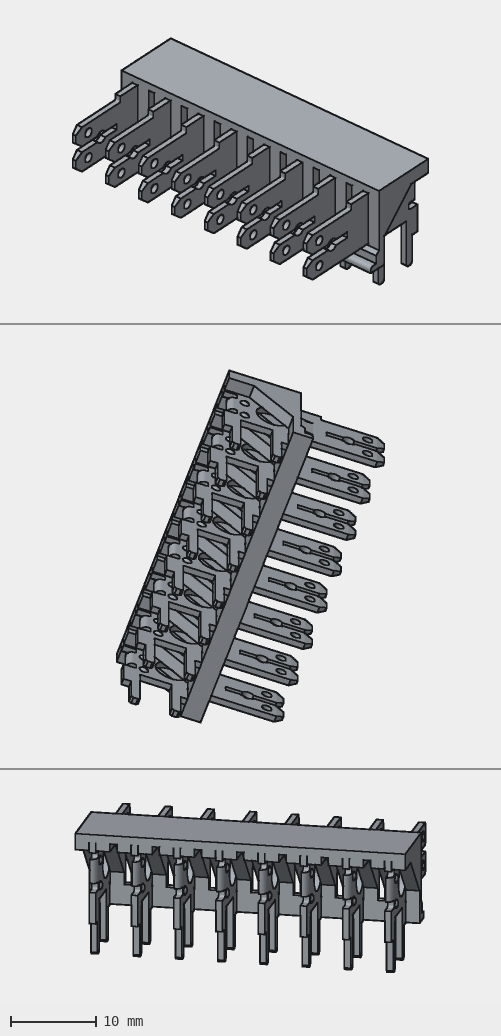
import cadquery as cq


length = 39.68
terminal_count = 8
pitch = 5.08
slot_pitch = pitch / 2
slot_count = 2 * terminal_count - 1
slot_width = 0.87

housing_depth = 8.95
roof_thickness = 2.0
wall_thickness = 1.0
wall_back = housing_depth - wall_thickness
wall_bottom = 10.87
gusset_start = 3.1
gusset_drop = wall_back - gusset_start
slot_top = 1.05
slot_bottom = 8.37
ledge_chamfer = 0.5
lip_top = 10.0
lip_front = 10.48
lip_radius = 0.48

thickness = 0.8
axis_depth = 5.0
shoulder_front = 12.05
shoulder_radius = 0.2
plate_bottom = 10.95
window_diameter = 4.0
window_forward = 6.0

blade_front = 20.0
blade_half_height = 3.15
fork_gap = 0.8
fork_start = 12.75
fork_eye_diameter = 1.6
fork_eye_forward = 15.5
prong_hole_diameter = 1.2
prong_hole_forward = 17.85
prong_offset = (blade_half_height + fork_gap / 2) / 2
tip_length = 0.95
tip_bevel = 0.8
tip_side_bevel = 0.15

leg_bottom = 15.0
leg_width = 1.1
leg_starts = (0.95, 6.05)
leg_chamfer = 0.28
arch_top = 8.5

tab_back = 0.48
tab_top = 3.2
tab_bottom = 6.2
tab_radius = 0.75
notch_front = 1.6
notch_height = 0.95
notch_radius = 0.3

dimple_radius = 0.55
dimple_height = 0.28
dimple_forward = 2.55
dimple_depths = (3.85, 6.95)
barb_height = 0.28
barb_length = 2.05
barb_top = 3.45
barb_bottom = 6.43
barb_taper = 0.15


def side_profile(points, width):
    """Prism of the given (forward, down) outline, centred on X = 0."""
    outline = [(-forward, -down) for forward, down in points]
    return cq.Workplane("YZ").polyline(outline).close().extrude(width / 2, both=True)


def side_block(back, front, top, bottom, width=thickness):
    return side_profile([(back, top), (front, top), (front, bottom), (back, bottom)], width)


def cross_hole(forward, down, diameter):
    return (
        cq.Workplane("YZ").center(-forward, -down).circle(diameter / 2).extrude(thickness, both=True)
    )


def make_housing():
    ledge_front = housing_depth + ledge_chamfer
    profile = [
        (0, 0),
        (housing_depth, 0),
        (housing_depth, slot_bottom),
        (ledge_front, slot_bottom + ledge_chamfer),
        (ledge_front, lip_top),
        (lip_front, lip_top),
        (lip_front, wall_bottom),
        (wall_back, wall_bottom),
        (wall_back, roof_thickness + gusset_drop),
        (gusset_start, roof_thickness),
        (0, roof_thickness),
    ]
    housing = side_profile(profile, length)
    lip_edge = cq.selectors.NearestToPointSelector((0, -lip_front, -lip_top))
    housing = housing.edges(lip_edge).fillet(lip_radius)
    slot = side_block(0, housing_depth, slot_top, slot_bottom, slot_width)
    for index in range(slot_count):
        housing = housing.cut(slot.translate(((index - (slot_count - 1) / 2) * slot_pitch, 0, 0)))
    return housing


def make_plate():
    blade_top = axis_depth - blade_half_height
    blade_bottom = axis_depth + blade_half_height
    outline = [
        (0, slot_top),
        (shoulder_front, slot_top),
        (shoulder_front, blade_top),
        (blade_front, blade_top),
        (blade_front, blade_bottom),
        (wall_back, blade_bottom),
        (wall_back, plate_bottom),
        (0, plate_bottom),
    ]
    plate = side_profile(outline, thickness)
    inner_corner = cq.selectors.NearestToPointSelector((0, -shoulder_front, -blade_top))
    plate = plate.edges(inner_corner).fillet(shoulder_radius)
    return plate.cut(cross_hole(window_forward, axis_depth, window_diameter))


def cut_fork(plate):
    fork = side_block(
        fork_start, blade_front, axis_depth - fork_gap / 2, axis_depth + fork_gap / 2
    )
    plate = plate.cut(fork).cut(cross_hole(fork_eye_forward, axis_depth, fork_eye_diameter))
    for prong_depth in (axis_depth - prong_offset, axis_depth + prong_offset):
        plate = plate.cut(cross_hole(prong_hole_forward, prong_depth, prong_hole_diameter))
        plate = bevel_prong_tip(plate, prong_depth)
    return plate


def bevel_prong_tip(plate, prong_depth):
    tip_back = blade_front - tip_length
    half_height = blade_half_height - prong_offset
    for side in (-1, 1):
        edge_depth = prong_depth + side * half_height
        corner = [
            (tip_back, edge_depth),
            (blade_front, edge_depth),
            (blade_front, edge_depth - side * tip_bevel),
        ]
        plate = plate.cut(side_profile(corner, thickness))
        flank = side * thickness / 2
        sliver = (
            cq.Workplane("XY", origin=(0, 0, -prong_depth))
            .moveTo(flank, -tip_back)
            .lineTo(flank, -blade_front)
            .lineTo(flank - side * tip_side_bevel, -blade_front)
            .close()
            .extrude(half_height, both=True)
        )
        plate = plate.cut(sliver)
    return plate


def add_legs(plate):
    first_leg, second_leg = leg_starts
    plate = plate.cut(side_block(first_leg + leg_width, second_leg, arch_top, plate_bottom))
    for start in leg_starts:
        leg = side_block(start, start + leg_width, arch_top, leg_bottom)
        plate = plate.union(leg.faces("<Z").edges("|X").chamfer(leg_chamfer))
    return plate


def shape_rear_tab(plate):
    plate = plate.cut(side_block(0, tab_back, tab_top, tab_bottom))
    for top in (tab_top - notch_height, tab_bottom):
        notch = side_block(0, notch_front, top, top + notch_height)
        plate = plate.cut(notch.faces("<Y").edges("|X").fillet(notch_radius))
    tab_middle = (tab_top + tab_bottom) / 2
    tab_edge = cq.selectors.NearestToPointSelector((-thickness / 2, -tab_back, -tab_middle))
    return plate.edges(tab_edge).fillet(tab_radius)


def add_dimples(plate):
    sphere_radius = (dimple_radius**2 + dimple_height**2) / (2 * dimple_height)
    center_x = -thickness / 2 - dimple_height + sphere_radius
    cap_zone = side_block(0, wall_back, 0, plate_bottom).translate((-thickness, 0, 0))
    for depth in dimple_depths:
        sphere = cq.Workplane("YZ").sphere(sphere_radius)
        sphere = sphere.translate((center_x, -dimple_forward, -depth))
        plate = plate.union(sphere.intersect(cap_zone))
    return plate


def add_barb(plate):
    """Ramp that is highest at the housing wall and fades out along the plate."""
    barb_front = housing_depth + barb_length
    flank = -thickness / 2
    ramp = (
        cq.Workplane("XY", origin=(0, 0, -barb_bottom))
        .moveTo(flank, -housing_depth)
        .lineTo(flank - barb_height, -housing_depth)
        .lineTo(flank, -barb_front)
        .close()
        .extrude(barb_bottom - barb_top)
    )
    flared_outline = [
        (housing_depth, barb_top + barb_taper),
        (barb_front, barb_top),
        (barb_front, barb_bottom),
        (housing_depth, barb_bottom - barb_taper),
    ]
    return plate.union(ramp.intersect(side_profile(flared_outline, 2 * thickness)))


def make_terminal():
    terminal = shape_rear_tab(make_plate())
    terminal = add_legs(cut_fork(terminal))
    return add_barb(add_dimples(terminal))


result = make_housing()
terminal = make_terminal()
for index in range(terminal_count):
    result = result.union(terminal.translate(((index - (terminal_count - 1) / 2) * pitch, 0, 0)))